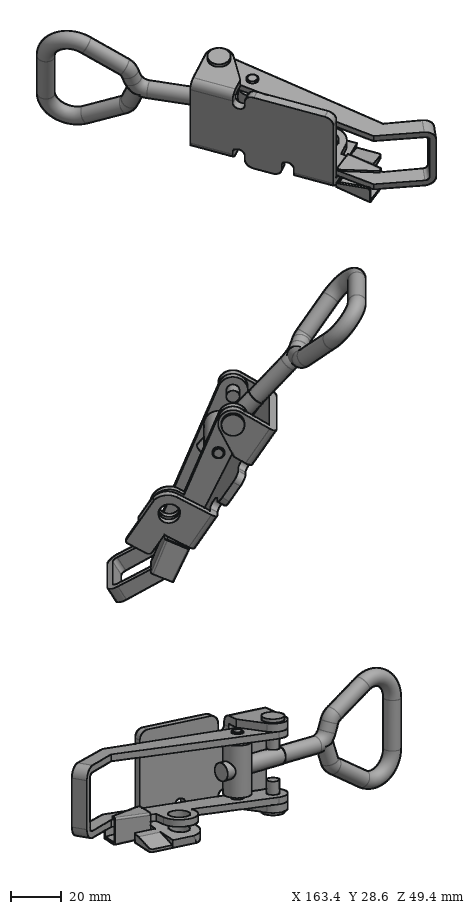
import cadquery as cq
import math


base_thickness = 3.5
base_back_y = -16.7
base_front_y = base_back_y + base_thickness
base_right_x = 54.2
pivot_end_radius = 5.9
flange_right_x = 12.0
flange_outer_z = 18.5
flange_inner_z = flange_outer_z - base_thickness
flange_shoulder_y = -8.0
tab_half_height = 20.0
tab_corner_radius = 3.8
relief_width = 5.0
relief_tip_z = 11.5
wing_left_x = flange_right_x + relief_width
lower_wing_right_x = 32.5

ear_left_x = lower_wing_right_x + relief_width
ear_tilt = 6.7
ear_root_z = -19.3
ear_top_y = 9.8
ear_corner_radius = 7.7
padlock_x = 45.2
padlock_y = 1.0
ear_hole_radius = 4.2
finger_right_x = 64.7
finger_bottom_y = -2.5
finger_top_y = 9.5
finger_fold_y = 1.0
finger_bevel = 20.5
finger_corner_radius = 1.5

arm_thickness = 3.0
arm_outer_z = flange_inner_z
arm_inner_z = arm_outer_z - arm_thickness
arm_upper_bend = (71.7, -7.7)
arm_lower_bend = (70.5, -15.3)
handle_upper_end = (89.6, 1.8)
handle_lower_end = (92.7, -4.2)
handle_web_thickness = 2.6
handle_corner_radius = 4.9
lug_radius = 7.5
lug_hole_radius = 4.4

rivet_head_radius = 4.5
rivet_head_height = 1.5
rivet_shank_radius = 2.6
rivet_tip_z = 6.5

barrel_x = 15.0
barrel_y = -2.8
barrel_radius = 5.7
barrel_half_length = 10.8
countersink_radius = 5.0
trunnion_radius = 2.5
trunnion_tip_z = 15.7
trunnion_chamfer = 0.5

hook_z = 0.5
hook_tilt = 8.6
wire_radius = 3.6
stud_radius = 3.8
stud_start = -22.5
stud_end = 8.7
ring_end = -83.0
ring_half_straight = 10.5
ring_corner_radius = 10.6
ring_side_slope = 30.0
shoulder_distance = 33.0
shoulder_radius = 5.0
throat_slope = 70.0
neck_radius = 6.7

catch_thickness = 1.0
catch_fold_radius = 0.8
catch_flap_corner_radius = 0.8
catch_lip_end_width = 1.1
catch_upper_left_x = 55.7
catch_upper_right_x = 70.5
catch_lower_left_x = 54.4
catch_lower_right_x = 69.2
catch_web_left_z = -21.0
catch_web_right_z = -22.5
catch_flap_left_z = -18.5
catch_flap_right_z = -14.0


def prism(points, z_low, z_high):
    """Outline in XY, extruded between two heights."""
    return cq.Workplane("XY", origin=(0, 0, z_low)).polyline(points).close().extrude(z_high - z_low)


def side_prism(points, y_low, y_high):
    """Outline in XZ, extruded between two Y values."""
    return cq.Workplane("XZ", origin=(0, y_high, 0)).polyline(points).close().extrude(y_high - y_low)


def cylinder(x, y, radius, z_low, z_high):
    return cq.Workplane("XY", origin=(x, y, z_low)).circle(radius).extrude(z_high - z_low)


def tangent_point(outside, radius, side):
    """Point where the line from `outside` touches a circle about the pivot; side is +1 or -1."""
    angle = math.atan2(outside[1], outside[0]) + side * math.acos(radius / math.hypot(*outside))
    return (radius * math.cos(angle), radius * math.sin(angle))


def base_plate():
    def relief(center_x, side):
        radius = relief_width / 2
        tip_center_z = relief_tip_z + radius
        notch = (
            cq.Workplane("XZ", origin=(center_x, base_front_y, side * tip_center_z))
            .circle(radius)
            .extrude(base_thickness)
        )
        slot_height = flange_outer_z - tip_center_z + base_thickness
        slot = cq.Workplane("XY").box(relief_width, base_thickness, slot_height).translate(
            (center_x, base_back_y + base_thickness / 2, side * (tip_center_z + slot_height / 2))
        )
        return notch.union(slot)

    def wing(right_x, side, rounded):
        height = tab_half_height
        panel = cq.Workplane("XY").box(right_x - wing_left_x, base_thickness, height).translate(
            ((wing_left_x + right_x) / 2, base_back_y + base_thickness / 2, side * height / 2)
        )
        return panel.edges(rounded).fillet(tab_corner_radius)

    upper_wing = wing(base_right_x, 1, "|Y and >Z")
    lower_wing = wing(lower_wing_right_x, -1, "|Y and <Z")
    middle_height = relief_tip_z + relief_width / 2
    middle = cq.Workplane("XY").box(
        base_right_x + pivot_end_radius, base_thickness, 2 * middle_height
    ).translate(
        ((base_right_x - pivot_end_radius) / 2, base_back_y + base_thickness / 2, 0)
    )
    plate = middle.union(upper_wing).union(lower_wing)
    first_relief_x = flange_right_x + relief_width / 2
    for center_x, side in (
        (first_relief_x, 1),
        (first_relief_x, -1),
        (lower_wing_right_x + relief_width / 2, -1),
    ):
        plate = plate.cut(relief(center_x, side))
    return plate


def pivot_flanges():
    """Channel with rounded outer bends, trimmed to the flange outline."""
    length = flange_right_x + pivot_end_radius
    height = pivot_end_radius - base_back_y
    channel = cq.Workplane("XY").box(length, height, 2 * flange_outer_z).translate(
        (flange_right_x - length / 2, pivot_end_radius - height / 2, 0)
    )
    channel = channel.edges("|X and <Y").fillet(base_thickness)
    hollow = cq.Workplane("XY").box(length, height, 2 * flange_inner_z).translate(
        (flange_right_x - length / 2, pivot_end_radius - height / 2 + base_thickness, 0)
    )
    shoulder = (flange_right_x, flange_shoulder_y)
    touch = tangent_point(shoulder, pivot_end_radius, 1)
    outline = (
        cq.Workplane("XY", origin=(0, 0, -flange_outer_z))
        .moveTo(-pivot_end_radius, base_back_y)
        .lineTo(flange_right_x, base_back_y)
        .lineTo(*shoulder)
        .lineTo(*touch)
        .threePointArc((0, pivot_end_radius), (-pivot_end_radius, 0))
        .close()
        .extrude(2 * flange_outer_z)
    )
    return channel.cut(hollow).intersect(outline)


def padlock_ear():
    def upright_plate(left_x, right_x, low_y, high_y):
        corners = [(left_x, low_y), (right_x, low_y), (right_x, high_y), (left_x, high_y)]
        return prism(corners, 2 * ear_root_z, 0)

    def sheet(section, left_x, right_x):
        return cq.Workplane("YZ", origin=(left_x, 0, 0)).polyline(section).close().extrude(right_x - left_x)

    top_z = -relief_tip_z - relief_width / 2
    tilt = math.radians(ear_tilt)
    slope = math.tan(tilt)
    sheet_depth = base_thickness / math.cos(tilt)

    def ear_outer_z(y):
        return ear_root_z - (y - base_back_y) * slope

    def ear_inner_z(y):
        return ear_outer_z(y) + sheet_depth

    tip_y = ear_top_y - base_thickness * math.sin(tilt)
    ear_root = (base_back_y, ear_root_z)
    ear_tip = (tip_y, ear_outer_z(tip_y))
    ear_tip_inner = (ear_top_y, ear_inner_z(ear_top_y))
    inner_corner = (base_front_y, ear_inner_z(base_front_y))
    section = [(base_back_y, top_z), ear_root, ear_tip, ear_tip_inner, inner_corner, (base_front_y, top_z)]
    ear = sheet(section, ear_left_x, base_right_x)
    bend_edge = ((ear_left_x + base_right_x) / 2, *ear_root)
    ear = ear.edges(cq.selectors.NearestToPointSelector(bend_edge)).fillet(base_thickness)
    ear_outline = upright_plate(ear_left_x, base_right_x, base_back_y, ear_top_y)
    ear = ear.intersect(ear_outline.edges("|Z and <X and >Y").fillet(ear_corner_radius))

    bevel_drop = (finger_top_y - finger_fold_y) * math.tan(math.radians(finger_bevel))
    finger_section = [
        (finger_bottom_y, ear_outer_z(finger_bottom_y)),
        ear_tip,
        (finger_top_y, ear_inner_z(finger_fold_y) - bevel_drop),
        (finger_fold_y, ear_inner_z(finger_fold_y)),
        (finger_bottom_y, ear_inner_z(finger_bottom_y)),
    ]
    finger = sheet(finger_section, base_right_x, finger_right_x)
    finger_outline = upright_plate(ear_left_x, finger_right_x, finger_bottom_y, finger_top_y)
    finger_outline = finger_outline.edges("|Z and >X").fillet(finger_corner_radius)
    hole = cylinder(padlock_x, padlock_y, ear_hole_radius, 2 * ear_root_z, 0)
    return ear.union(finger.intersect(finger_outline)).cut(hole)


def make_base():
    holes = cylinder(0, 0, rivet_shank_radius, -flange_outer_z, flange_outer_z)
    return base_plate().union(pivot_flanges()).union(padlock_ear()).cut(holes)


def make_lever():
    upper_touch = tangent_point(arm_upper_bend, pivot_end_radius, 1)
    lower_touch = tangent_point(arm_lower_bend, pivot_end_radius, -1)
    block = (
        cq.Workplane("XY", origin=(0, 0, -arm_outer_z))
        .moveTo(*upper_touch)
        .lineTo(*arm_upper_bend)
        .lineTo(*handle_upper_end)
        .lineTo(*handle_lower_end)
        .lineTo(*arm_lower_bend)
        .lineTo(*lower_touch)
        .threePointArc((-pivot_end_radius, 0), upper_touch)
        .close()
        .extrude(2 * arm_outer_z)
    )
    end_edge = cq.Vector(*handle_lower_end) - cq.Vector(*handle_upper_end)
    block = block.edges(cq.selectors.ParallelDirSelector(end_edge)).fillet(handle_corner_radius)
    end_frame = cq.Plane(origin=(*handle_upper_end, 0), xDir=end_edge, normal=(0, 0, 1))
    reach = 2 * handle_lower_end[0]
    opening = (
        cq.Workplane(end_frame)
        .center(0, -handle_web_thickness - reach / 2)
        .rect(reach, reach)
        .extrude(arm_inner_z, both=True)
        .edges(cq.selectors.ParallelDirSelector(end_edge))
        .fillet(handle_corner_radius - arm_thickness)
    )
    lug = cylinder(padlock_x, padlock_y, lug_radius, -arm_outer_z, -arm_inner_z)
    lug_stem = prism(
        [
            (padlock_x - lug_radius, padlock_y),
            (padlock_x + lug_radius, padlock_y),
            (padlock_x + lug_radius, padlock_y - lug_radius),
            (padlock_x - lug_radius, padlock_y - lug_radius),
        ],
        -arm_outer_z,
        -arm_inner_z,
    )
    padlock_hole = cylinder(padlock_x, padlock_y, lug_hole_radius, -arm_outer_z, -arm_inner_z)
    pivot_hole = cylinder(0, 0, rivet_shank_radius, -arm_outer_z, arm_outer_z)
    trunnion_hole = cylinder(barrel_x, barrel_y, trunnion_radius, -arm_outer_z, arm_outer_z)
    lever = block.cut(opening).union(lug).union(lug_stem)
    return lever.cut(padlock_hole).cut(pivot_hole).cut(trunnion_hole)


def make_rivet(side):
    """Rivet with its head outside one flange; side is +1 for the upper one and -1 for the lower one."""
    shank = cylinder(0, 0, rivet_shank_radius, rivet_tip_z, flange_outer_z)
    head = cylinder(0, 0, rivet_head_radius, flange_outer_z, flange_outer_z + rivet_head_height)
    rivet = shank.union(head)
    return rivet if side > 0 else rivet.mirror("XY")


def make_barrel():
    body = cylinder(barrel_x, barrel_y, barrel_radius, hook_z - barrel_half_length, hook_z + barrel_half_length)
    trunnions = cylinder(barrel_x, barrel_y, trunnion_radius, -trunnion_tip_z, trunnion_tip_z)
    trunnions = trunnions.faces("<Z or >Z").chamfer(trunnion_chamfer)
    bore = along_hook(stud_radius, -2 * barrel_radius, 2 * barrel_radius)
    cone = cq.Solid.makeCone(
        countersink_radius, 0, countersink_radius, cq.Vector(-barrel_radius, 0, 0), cq.Vector(1, 0, 0)
    )
    countersink = place_hook(cq.Workplane(cone))
    return body.union(trunnions).cut(bore).cut(countersink)


def place_hook(shape):
    """Move a shape built along the X axis onto the tilted hook axis through the barrel."""
    return shape.rotate((0, 0, 0), (0, 0, 1), hook_tilt).translate((barrel_x, barrel_y, hook_z))


def along_hook(radius, start, end):
    return place_hook(cq.Workplane("YZ", origin=(start, 0, 0)).circle(radius).extrude(end - start))


def rounded_path(points, radii):
    """Wire in XZ through `points`, with a tangent arc of the given radius at each inner corner."""
    vectors = [cq.Vector(x, 0, z) for x, z in points]
    edges = []
    start = vectors[0]
    for before, corner, after, radius in zip(vectors, vectors[1:], vectors[2:], radii):
        incoming = (corner - before).normalized()
        outgoing = (after - corner).normalized()
        turn = incoming.getAngle(outgoing)
        tangent = radius * math.tan(turn / 2)
        arc_start = corner - incoming * tangent
        arc_end = corner + outgoing * tangent
        inward = (outgoing - incoming).normalized()
        arc_middle = corner + inward * (radius / math.cos(turn / 2) - radius)
        edges.append(cq.Edge.makeLine(start, arc_start))
        edges.append(cq.Edge.makeThreePointArc(arc_start, arc_middle, arc_end))
        start = arc_end
    edges.append(cq.Edge.makeLine(start, vectors[-1]))
    return cq.Wire.assembleEdges(edges)


def make_hook():
    corner_z = ring_half_straight + ring_corner_radius * math.tan(math.radians(90 - ring_side_slope))
    shoulder_x = ring_end + shoulder_distance
    shoulder_z = corner_z - shoulder_distance * math.tan(math.radians(ring_side_slope))
    throat_x = shoulder_x + shoulder_z / math.tan(math.radians(throat_slope))
    path = rounded_path(
        [
            (stud_start, 0),
            (throat_x, 0),
            (shoulder_x, shoulder_z),
            (ring_end, corner_z),
            (ring_end, -corner_z),
            (shoulder_x, -shoulder_z),
            (throat_x, 0),
        ],
        [neck_radius, shoulder_radius, ring_corner_radius, ring_corner_radius, shoulder_radius],
    )
    wire = cq.Workplane("YZ", origin=(stud_start, 0, 0)).circle(wire_radius).sweep(cq.Workplane(path))
    return place_hook(wire)


def make_stud():
    return along_hook(stud_radius, stud_start, stud_end)


def make_catch():
    upper_touch = tangent_point(arm_upper_bend, pivot_end_radius, 1)
    lower_touch = tangent_point(arm_lower_bend, pivot_end_radius, -1)

    def edge_y(x, touch, bend):
        return touch[1] + (x - touch[0]) * (bend[1] - touch[1]) / (bend[0] - touch[0])

    def upper_point(x, offset):
        return (x, edge_y(x, upper_touch, arm_upper_bend) + offset)

    def lower_point(x, offset):
        return (x, edge_y(x, lower_touch, arm_lower_bend) - offset)

    def web_z(x):
        fraction = (x - catch_lower_left_x) / (catch_upper_right_x - catch_lower_left_x)
        return catch_web_left_z + fraction * (catch_web_right_z - catch_web_left_z)

    left_x = catch_lower_left_x
    right_x = catch_upper_right_x
    top_z = -arm_inner_z + catch_thickness
    outline = prism(
        [
            upper_point(catch_upper_left_x, catch_thickness),
            upper_point(catch_upper_right_x, catch_thickness),
            lower_point(catch_lower_right_x, catch_thickness),
            lower_point(catch_lower_left_x, catch_thickness),
        ],
        2 * catch_web_right_z,
        0,
    )
    back_band = prism(
        [
            upper_point(left_x, 0),
            upper_point(right_x, 0),
            upper_point(right_x, catch_thickness),
            upper_point(left_x, catch_thickness),
        ],
        2 * catch_web_right_z,
        top_z,
    )
    front_band = prism(
        [
            lower_point(left_x, 0),
            lower_point(right_x, 0),
            lower_point(right_x, catch_thickness),
            lower_point(left_x, catch_thickness),
        ],
        2 * catch_web_right_z,
        0,
    )
    depth = (base_back_y - catch_thickness, 0)
    web_line = [(left_x, web_z(left_x)), (right_x, web_z(right_x))]
    web = side_prism(
        web_line + [(x, z + catch_thickness) for x, z in reversed(web_line)], *depth
    ).intersect(outline)
    back = side_prism(web_line + [(right_x, 0), (left_x, 0)], *depth).intersect(outline).intersect(back_band)
    flap = side_prism(
        web_line + [(right_x, catch_flap_right_z), (left_x, catch_flap_left_z)], *depth
    ).intersect(outline).intersect(front_band)
    lip = prism(
        [
            upper_point(catch_upper_left_x, catch_thickness),
            upper_point(catch_upper_right_x, catch_thickness),
            upper_point(catch_upper_right_x, -catch_lip_end_width),
            lower_point(catch_lower_left_x + catch_lip_end_width, 0),
            lower_point(catch_lower_left_x, 0),
        ],
        -arm_inner_z,
        top_z,
    )
    catch = web.union(back).union(flap).union(lip)
    middle_x = (left_x + right_x) / 2
    folds = [
        (*upper_point(middle_x, catch_thickness), top_z),
        (*upper_point(middle_x, catch_thickness), web_z(middle_x)),
        (*lower_point(middle_x, catch_thickness), web_z(middle_x)),
    ]
    for fold in folds:
        catch = catch.edges(cq.selectors.NearestToPointSelector(fold)).fillet(catch_fold_radius)
    flap_corner = (*lower_point(catch_lower_right_x, catch_thickness / 2), catch_flap_right_z)
    return catch.edges(cq.selectors.NearestToPointSelector(flap_corner)).fillet(catch_flap_corner_radius)


base = make_base()
lever = make_lever()
rivets = [make_rivet(side) for side in (1, -1)]
barrel = make_barrel()
hook = make_hook()
stud = make_stud()
catch = make_catch()

result = cq.Compound.makeCompound([
    base.val(),
    lever.val(),
    *[rivet.val() for rivet in rivets],
    barrel.val(),
    hook.val(),
    stud.val(),
    catch.val(),
])